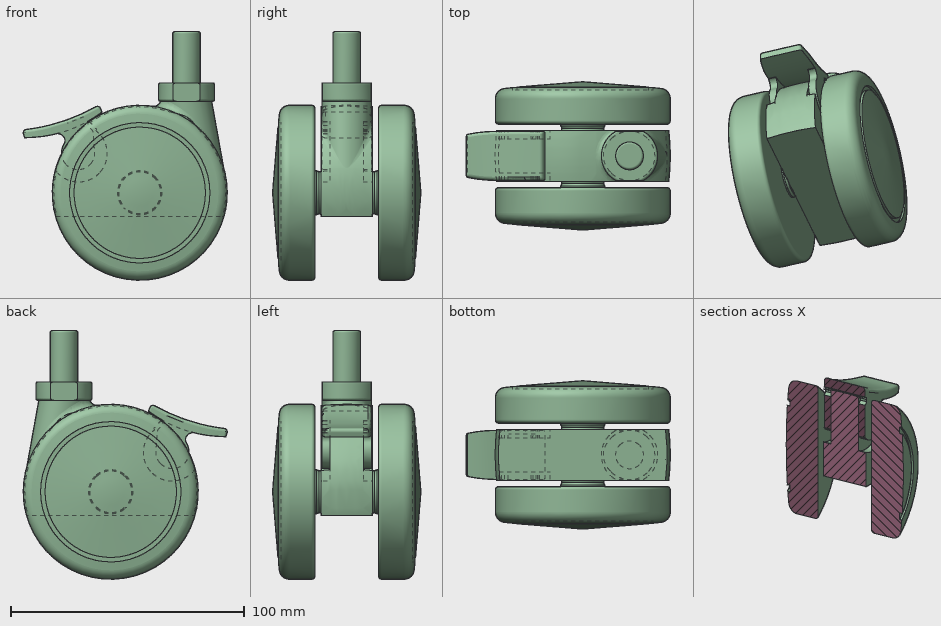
import cadquery as cq
import math


wheel_radius = 37.5
wheel_inner_y = 13.5
tread_fillet = 1.5
shoulder_start_y = 24.5
shoulder_radius = 33.8
shoulder_end_y = 28.9
groove_outer_radius = 30.0
groove_inner_radius = 28.1
groove_outer_y = 29.3
groove_inner_y = 29.5
groove_depth = 1.1
cap_ring_radius = 17.7
cap_ring_y = 30.4
overall_width = 63.6
cap_apex_y = overall_width / 2

hub_radius = 9.5
hub_neck_radius = 8.9
hub_chamfer_y = 12.9
hub_joint_y = 11.8
boss_radius = 9.3

housing_radius = 37.5
crown_radius = 93.7
housing_half_width = 11.0
housing_bottom_z = -10.2
neck_fillet = 3.0
neck_bottom_z = 6.4
neck_radius = 10.6
neck_slope = 0.18

stem_x = 20.0
stem_radius = 6.0
stem_top_z = 69.0
collar_radius = 12.0
collar_bottom_z = 39.1
collar_top_z = 47.1
collar_half_flats = 10.5
stem_rounding = 1.0

lever_half_width = collar_half_flats
arm_inner_y = 7.2
lobe_x = -26.2
lobe_z = 16.8
lobe_radius = 6.9
tip_x = -51.1
tip_half_width = 8.8
taper_start_x = -37.8
taper_mid_x = -44.1
taper_mid_half_width = 10.1
lever_rounding = 1.5
lever_corner = 1.1
plate_top_middle = (-33.4, 30.5)
recess_radius = 12.2
mouth_foot = (-18.4, 27.0)
mouth_end = (-27.4, 37.0)


def extrude_between(outline, y_low, y_high):
    """Extrude an outline drawn in the XZ plane from y_low to y_high."""
    return outline.extrude(y_high - y_low).translate((0, y_high, 0))


def extrude_side(outline, side, outer_y):
    """Extrude an XZ outline from the arms' inner plane to outer_y, on the +Y or -Y side."""
    y_low, y_high = sorted((side * arm_inner_y, side * outer_y))
    return extrude_between(outline, y_low, y_high)


def wheel(side):
    """Wheel with hub, revolved about Y; side is +1 or -1."""
    profile = (
        cq.Workplane("XY")
        .moveTo(0, hub_joint_y)
        .lineTo(hub_neck_radius, hub_joint_y)
        .lineTo(hub_radius, hub_chamfer_y)
        .lineTo(hub_radius, wheel_inner_y)
        .lineTo(wheel_radius - tread_fillet, wheel_inner_y)
        .tangentArcPoint((wheel_radius, wheel_inner_y + tread_fillet), relative=False)
        .lineTo(wheel_radius, shoulder_start_y)
        .tangentArcPoint((shoulder_radius, shoulder_end_y), relative=False)
        .lineTo(groove_outer_radius, groove_outer_y)
        .lineTo(groove_outer_radius, groove_outer_y - groove_depth)
        .lineTo(groove_inner_radius, groove_outer_y - groove_depth)
        .lineTo(groove_inner_radius, groove_inner_y)
        .lineTo(cap_ring_radius, cap_ring_y)
        .lineTo(0, cap_apex_y)
        .close()
    )
    body = profile.revolve(360, (0, 0, 0), (0, 1, 0))
    return body if side > 0 else body.mirror("XZ")


def drum():
    """Crowned drum about Y, made wider than the housing so that the neck's foot fits on it."""
    half_width = 2 * housing_half_width
    rim_radius = housing_radius - crown_radius + math.sqrt(crown_radius**2 - half_width**2)
    return (
        cq.Workplane("XY")
        .moveTo(0, -half_width)
        .lineTo(rim_radius, -half_width)
        .threePointArc((housing_radius, 0), (rim_radius, half_width))
        .lineTo(0, half_width)
        .close()
        .revolve(360, (0, 0, 0), (0, 1, 0))
    )


def neck():
    """Leaning cylinder, carried up into the collar's height so that its foot can be rounded."""
    lean = cq.Vector(neck_slope, 0, -1)
    rise = collar_top_z - collar_bottom_z
    top = cq.Vector(stem_x, 0, collar_bottom_z) - lean * rise
    length = lean.Length * (collar_top_z - neck_bottom_z)
    return cq.Workplane(cq.Solid.makeCylinder(neck_radius, length, top, lean))


def boss(side):
    """Short tapered boss on the housing side that meets the wheel hub."""
    cone = cq.Solid.makeCone(
        boss_radius,
        hub_neck_radius,
        hub_joint_y - housing_half_width,
        cq.Vector(0, side * housing_half_width, 0),
        cq.Vector(0, side, 0),
    )
    return cq.Workplane(cone)


def recess(side):
    """Pocket in one housing side for a lever arm: a disc with a straight-sided mouth above it."""
    disc = cq.Workplane("XZ").center(lobe_x, lobe_z).circle(recess_radius)
    mouth = cq.Workplane("XZ").polyline([(lobe_x, lobe_z), mouth_foot, mouth_end]).close()
    return extrude_side(disc, side, housing_half_width).union(
        extrude_side(mouth, side, housing_half_width)
    )


def housing():
    """Drum and neck trimmed to the housing width, with wheel bosses and lever recesses."""
    body = drum().union(neck()).edges("%BSPLINE").fillet(neck_fillet)
    slab = cq.Workplane("XY").box(
        4 * housing_radius, 2 * housing_half_width, collar_bottom_z - housing_bottom_z
    ).translate((0, 0, (collar_bottom_z + housing_bottom_z) / 2))
    body = body.intersect(slab)
    for side in (1, -1):
        body = body.union(boss(side))
        body = body.cut(recess(side))
    return body


def stem():
    """Round shank on a collar with two flats."""
    shank = (
        cq.Workplane("XY", origin=(stem_x, 0, collar_bottom_z))
        .circle(stem_radius)
        .extrude(stem_top_z - collar_bottom_z)
        .faces(">Z")
        .edges()
        .fillet(stem_rounding)
    )
    collar_height = collar_top_z - collar_bottom_z
    collar = (
        cq.Workplane("XY", origin=(stem_x, 0, collar_bottom_z))
        .circle(collar_radius)
        .extrude(collar_height)
        .edges("%CIRCLE")
        .fillet(stem_rounding)
    )
    flats = (
        cq.Workplane("XY", origin=(stem_x, 0, collar_bottom_z))
        .rect(3 * collar_radius, 2 * collar_half_flats)
        .extrude(collar_height)
    )
    return collar.intersect(flats).union(shank)


def lever_plate():
    """Curved thumb plate, narrowed towards its tip and rounded along its top edges."""
    side_outline = (
        cq.Workplane("XZ")
        .moveTo(-50.4, 26.9)
        .threePointArc(plate_top_middle, (-17.4, 37.7))
        .lineTo(-16.1, 34.5)
        .threePointArc((-37.3, 24.8), (-49.3, 23.5))
        .close()
    )
    block = extrude_between(side_outline, -lever_half_width, lever_half_width)
    plan = (
        cq.Workplane("XY")
        .moveTo(0, -lever_half_width)
        .lineTo(taper_start_x, -lever_half_width)
        .threePointArc((taper_mid_x, -taper_mid_half_width), (tip_x, -tip_half_width))
        .lineTo(tip_x, tip_half_width)
        .threePointArc((taper_mid_x, taper_mid_half_width), (taper_start_x, lever_half_width))
        .lineTo(0, lever_half_width)
        .close()
        .extrude(stem_top_z)
    )
    plate = block.intersect(plan)
    plate = plate.faces("<X or >X").edges("not |Y").fillet(lever_corner)
    top_x, top_z = plate_top_middle
    top = plate.faces(cq.selectors.NearestToPointSelector((top_x, 0, top_z)))
    return top.edges().fillet(lever_rounding)


def lever_arm_outline():
    """Side outline of an arm: hollow under the plate, round lobe below, stepped back edge."""
    return (
        cq.Workplane("XZ")
        .moveTo(-34.7, 25.1)
        .threePointArc((-32.6, 24.0), (-32.5, 20.8))
        .threePointArc((lobe_x, lobe_z - lobe_radius), (lobe_x + lobe_radius, lobe_z))
        .lineTo(-20.0, 26.3)
        .lineTo(-22.2, 28.8)
        .lineTo(-22.2, 32)
        .lineTo(-34.7, 26.6)
        .close()
    )


def lever():
    """Thumb plate with an arm on each side of the housing."""
    body = lever_plate()
    for side in (1, -1):
        body = body.union(extrude_side(lever_arm_outline(), side, lever_half_width))
    return body


wheels = [wheel(side) for side in (1, -1)]
result = cq.Compound.makeCompound(
    [housing().val(), stem().val(), lever().val(), *[body.val() for body in wheels]]
)